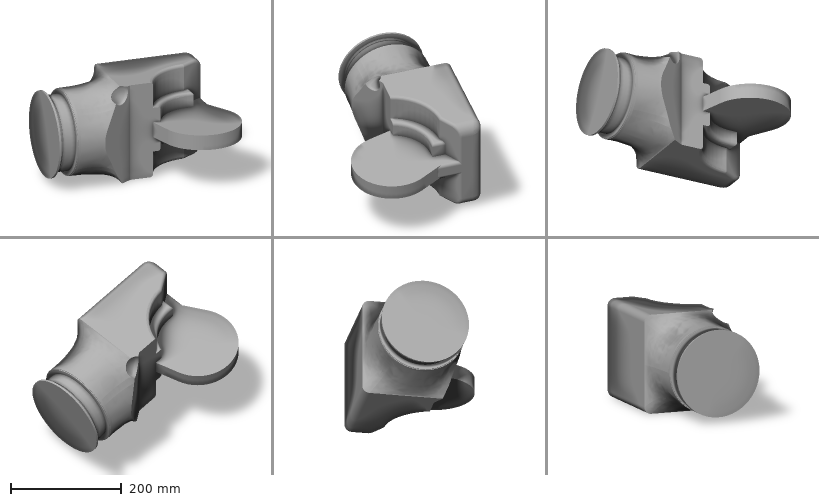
import cadquery as cq
import math

total_length = 351.0
half_width = 91.2
block_front = 129.5
block_back = 319.7
side_round = 13.5
back_round = 20.0

side_wall_x = 44.5
slope_start_y = 149.0
slope_angle = 32.0
slope_run = math.tan(math.radians(slope_angle))

shoulder_radius = 85.0
shoulder_y = 100.5
cuff_radius = 80.5
cuff_back = 41.8

cuff_front = 36.5
lip_radius = 79.3
lip_front = 34.7
neck_radius = 70.5
groove_radius = 69.0
groove_back = 11.5
groove_front = 9.0
flange_radius = cuff_radius
flange_back = 4.0

tongue_thickness = 28.5
floor_z = tongue_thickness / 2
tongue_radius = 74.0
pivot_x = 68.8
pivot_y = total_length - tongue_radius
tongue_root_x = -11.0
tongue_back_slope = 30.0
tongue_front_slope = 16.0

relief_x = 70.2
relief_y = 281.0
relief_radius = 91.5
relief_corner_y = 277.2
ledge_z = 42.0
step_radius = 73.0
step_left = pivot_x - step_radius
step_back = 289.0
edge_round = 5.5

recess_center = (59.3, 127.0, 81.0)
recess_radius = 20.0

reach = 210.5
tool_back = total_length


def cross_section(y):
    """XZ workplane at the given Y, extruding toward +Y."""
    return cq.Workplane(cq.Plane(origin=(0, y, 0), xDir=(-1, 0, 0), normal=(0, 1, 0)))


def block():
    """Square block with rounded long edges and a larger round along its back."""
    body = cross_section(block_front).rect(2 * half_width, 2 * half_width)
    body = body.extrude(block_back - block_front)
    body = body.edges("|Y").fillet(side_round)
    return body.faces(">Y").edges().fillet(back_round)


def shoulder():
    """Smooth blend from the rounded square of the block, through a circle, to the cuff."""

    def ring(radius, y):
        return cq.Sketch().circle(radius).moved(cq.Location(cq.Vector(0, 0, y - block_front)))

    square = cq.Sketch().rect(2 * half_width, 2 * half_width).vertices().fillet(side_round)
    rings = (ring(shoulder_radius, shoulder_y), ring(cuff_radius, cuff_back))
    return cross_section(block_front).placeSketch(square, *rings).loft()


def slope_y(x):
    """Y of the slope where it reaches the given X."""
    return slope_start_y - (x - side_wall_x) / slope_run


def cut_side(body):
    """Remove everything beyond the flat wall and the slope."""
    outline = [
        (side_wall_x, tool_back),
        (side_wall_x, slope_start_y),
        (half_width, slope_y(half_width)),
        (reach, slope_y(half_width)),
        (reach, tool_back),
    ]
    tool = cq.Workplane("XY").polyline(outline).close().extrude(reach, both=True)
    return body.cut(tool)


def neck():
    """Turned end of the housing, from the cuff down to the flange."""
    steps = [
        (cuff_radius, cuff_back, cuff_front),
        (lip_radius, cuff_front, lip_front),
        (neck_radius, lip_front, groove_back),
        (groove_radius, groove_back, groove_front),
        (neck_radius, groove_front, flange_back),
        (flange_radius, flange_back, 0.0),
    ]
    outline = [(0, cuff_back)]
    for radius, back, front in steps:
        outline += [(radius, back), (radius, front)]
    outline.append((0, 0))
    return cq.Workplane("XY").polyline(outline).close().revolve(360, (0, 0, 0), (0, 1, 0))


def clearance_corner():
    """Point where the upper clearance changes from its arc to its slanted wall."""
    return (relief_x - math.sqrt(relief_radius**2 - (relief_y - relief_corner_y) ** 2), relief_corner_y)


def mid_arc(x, y, radius):
    """Point halfway along the -X, -Y quarter of a circle."""
    return (x - radius * math.sqrt(0.5), y - radius * math.sqrt(0.5))


def relief_outline():
    """Upper clearance outline: a slanted wall running into an arc, open toward +X and +Y."""
    corner_x, corner_y = clearance_corner()
    front = relief_y - relief_radius
    return (
        cq.Workplane("XY")
        .moveTo(corner_x, corner_y)
        .threePointArc(mid_arc(relief_x, relief_y, relief_radius), (relief_x, front))
        .lineTo(reach, front)
        .lineTo(reach, tool_back)
        .lineTo(corner_x - (tool_back - corner_y) * slope_run, tool_back)
        .close()
    )


def step_outline():
    """Deeper clearance outline: the rim of the tongue, squared off at the back."""
    front = pivot_y - step_radius
    return (
        cq.Workplane("XY")
        .moveTo(step_left, pivot_y)
        .threePointArc(mid_arc(pivot_x, pivot_y, step_radius), (pivot_x, front))
        .lineTo(reach, front)
        .lineTo(reach, tool_back)
        .lineTo(-half_width, tool_back)
        .lineTo(-half_width, step_back)
        .lineTo(step_left, step_back)
        .close()
    )


def clearance():
    """Cutting tool for the +Z face, two levels deep."""
    upper = relief_outline().extrude(reach).translate((0, 0, ledge_z))
    full = relief_outline().extrude(reach).translate((0, 0, floor_z))
    lower = step_outline().extrude(reach).translate((0, 0, floor_z))
    return upper.union(full.intersect(lower))


def round_clearance(body):
    """Round the convex edges of both clearances; tangent edges follow along."""
    corner_x, corner_y = clearance_corner()
    wall_back = block_back - back_round
    wall_middle_x = corner_x - (wall_back - corner_y) / 2 * slope_run
    step_end_x = corner_x - (step_back - corner_y) * slope_run
    edge_points = [
        (*mid_arc(relief_x, relief_y, relief_radius), half_width),
        (wall_middle_x, (corner_y + wall_back) / 2, half_width),
        (*mid_arc(pivot_x, pivot_y, step_radius), ledge_z),
        (step_left, (pivot_y + step_back) / 2, ledge_z),
        ((step_end_x + step_left) / 2, step_back, ledge_z),
        (side_wall_x / 2, block_back, floor_z),
    ]
    edges = []
    for x, y, z in edge_points:
        for side in (1, -1):
            edges += body.edges(cq.selectors.NearestToPointSelector((x, y, side * z))).vals()
    return body.newObject(edges).fillet(edge_round)


def tongue():
    """Flat plate: a round end and two straight flanks tangent to it."""
    back_angle = math.radians(90 + tongue_back_slope)
    front_angle = math.radians(tongue_front_slope - 90)

    def rim(angle):
        return (pivot_x + tongue_radius * math.cos(angle), pivot_y + tongue_radius * math.sin(angle))

    def root(angle):
        x, y = rim(angle)
        return (tongue_root_x, y + (x - tongue_root_x) / math.tan(angle))

    return (
        cq.Workplane("XY")
        .moveTo(*root(front_angle))
        .lineTo(*rim(front_angle))
        .threePointArc(rim(0), rim(back_angle))
        .lineTo(*root(back_angle))
        .close()
        .extrude(floor_z, both=True)
    )


housing = cut_side(block())
for tool in (clearance(), clearance().mirror("XY")):
    housing = housing.cut(tool)
housing = round_clearance(housing)
recess = cq.Workplane("XY").sphere(recess_radius).translate(recess_center)
result = housing.union(cut_side(shoulder())).union(neck()).cut(recess).union(tongue())